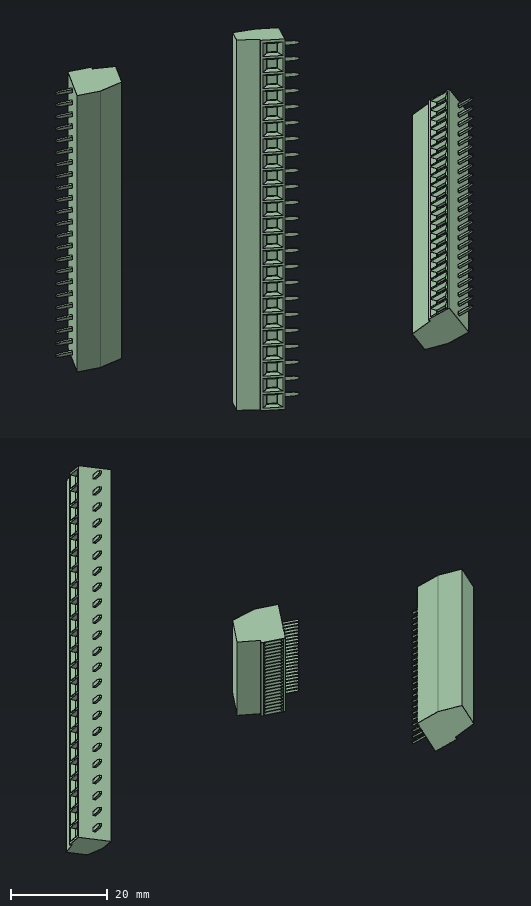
import cadquery as cq

positions = 23
pitch = 3.5
end_margin = 0.35
strip_length = positions * pitch + 2 * end_margin

body_width = 7.3
body_height = 10.0
pin_axis_from_entry_face = 3.5
entry_face_x = -pin_axis_from_entry_face
back_face_x = entry_face_x + body_width
shoulder_height = 5.2
shoulder_step = 0.55
entry_side_top_inset = 1.15
back_side_top_inset = 1.4
back_slope_start = 5.0

pin_thickness = 0.5
pin_width = 0.9
pin_length = 3.5
pin_tip_length = 1.0
pin_tip_width = 0.5

entry_center_y = 2.58
funnel_size_y = 4.2
funnel_size_z = 3.0
funnel_depth = 0.8
hole_size_y = 2.2
hole_size_z = 2.0
hole_depth = 0.5


def position_z(index):
    """Height of the centre of one position above the bottom end."""
    return end_margin + (index + 0.5) * pitch


def make_housing():
    """Housing body with a stepped, sloped -X side and a sloped +X side."""
    outline = [
        (entry_face_x, 0),
        (back_face_x, 0),
        (back_face_x, back_slope_start),
        (back_face_x - back_side_top_inset, body_height),
        (entry_face_x + entry_side_top_inset, body_height),
        (entry_face_x + shoulder_step, shoulder_height),
        (entry_face_x, shoulder_height),
    ]
    return cq.Workplane("XY").polyline(outline).close().extrude(strip_length)


def make_wire_entry(z):
    """Cutting body for one wire entry, running from the entry face toward +X."""
    entry_plane = cq.Workplane("YZ", origin=(entry_face_x, entry_center_y, z))
    funnel = (
        entry_plane.rect(funnel_size_y, funnel_size_z)
        .workplane(offset=funnel_depth)
        .rect(hole_size_y, hole_size_z)
        .loft(ruled=True)
    )
    hole = entry_plane.rect(hole_size_y, hole_size_z).extrude(funnel_depth + hole_depth)
    return funnel.union(hole)


def make_pin(z):
    """One flat pin, narrowed in Z toward its tip and rooted on the pin-side face."""
    half_width = pin_width / 2
    half_tip = pin_tip_width / 2
    taper_start = pin_tip_length - pin_length
    outline = [
        (0, -half_width),
        (taper_start, -half_width),
        (-pin_length, -half_tip),
        (-pin_length, half_tip),
        (taper_start, half_width),
        (0, half_width),
    ]
    pin_plane = cq.Workplane("YZ", origin=(0, 0, z))
    return pin_plane.polyline(outline).close().extrude(pin_thickness / 2, both=True)


result = make_housing()
for index in range(positions):
    center_z = position_z(index)
    result = result.cut(make_wire_entry(center_z))
    result = result.union(make_pin(center_z))